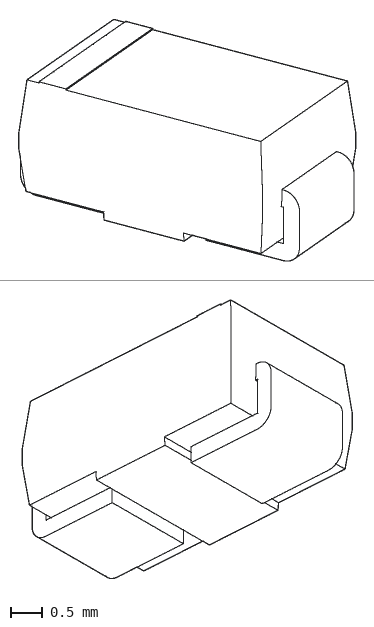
import cadquery as cq

body_length = 4.5
body_width = 2.79
body_bottom = 0.3
belt_bottom = 1.05
belt_top = 1.34
body_top = 2.24
top_inset = 0.095

pad_length = 1.48
pad_bottom = 0.15
pad_inset = 0.1

band_start = -1.935
band_length = 0.5
band_height = 0.02

overall_length = 5.15
lead_width = 1.64
lead_thickness = 0.3
lead_top = 1.23
lead_bend_radius = 0.3
foot_end = 0.85
lead_embed = 0.105

top_width = body_width - 2 * top_inset


def block(length, width, bottom, top):
    """Box centred in X and Y between two heights."""
    return cq.Workplane("XY").workplane(offset=bottom).rect(length, width).extrude(top - bottom)


def taper(start, end, inset):
    """Frustum from the belt outline to one inset on every side."""
    return (
        cq.Workplane("XY")
        .workplane(offset=start)
        .rect(body_length, body_width)
        .workplane(offset=end - start)
        .rect(body_length - 2 * inset, body_width - 2 * inset)
        .loft(ruled=True)
    )


def make_body():
    belt = block(body_length, body_width, belt_bottom, belt_top)
    upper = taper(belt_top, body_top, top_inset)
    pad_slice = block(pad_length, body_width, pad_bottom, body_bottom)
    main_slice = block(body_length, body_width, body_bottom, belt_bottom)
    lower = taper(belt_bottom, pad_bottom, pad_inset).intersect(main_slice.union(pad_slice))
    return belt.union(upper).union(lower)


def make_band():
    band = block(band_length, top_width, body_top, body_top + band_height)
    return band.translate((band_start + band_length / 2, 0, 0))


def make_left_lead():
    outer = -overall_length / 2
    inner = outer + lead_thickness
    arm_end = -body_length / 2 + lead_embed
    profile = (
        cq.Workplane("XZ")
        .moveTo(-foot_end, 0)
        .lineTo(outer + lead_bend_radius, 0)
        .radiusArc((outer, lead_bend_radius), lead_bend_radius)
        .lineTo(outer, lead_top - lead_bend_radius)
        .radiusArc((outer + lead_bend_radius, lead_top), lead_bend_radius)
        .lineTo(arm_end, lead_top)
        .lineTo(arm_end, lead_top - lead_thickness)
        .lineTo(inner, lead_top - lead_thickness)
        .lineTo(inner, lead_thickness)
        .lineTo(-foot_end, lead_thickness)
        .close()
    )
    return profile.extrude(lead_width / 2, both=True)


left_lead = make_left_lead()
right_lead = left_lead.mirror("YZ")

result = make_body().union(make_band()).union(left_lead).union(right_lead)